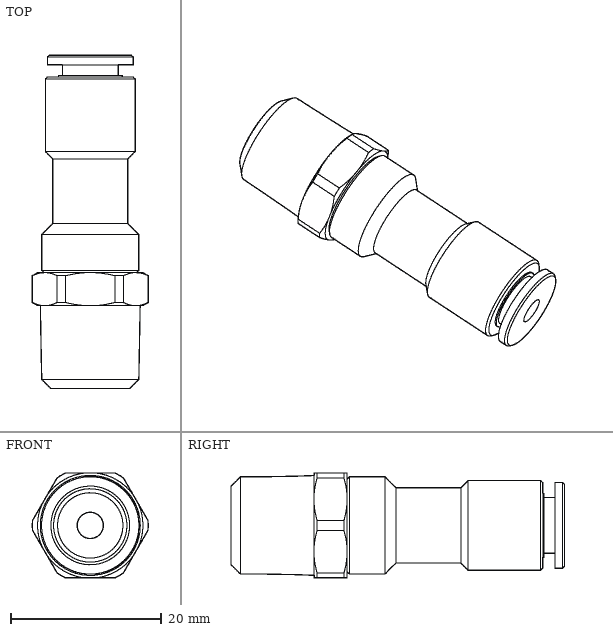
import cadquery as cq
import math

length = 44.45

tip_chamfer_length = 1.25
tip_face_radius = 5.25
thread_tip_radius = 6.5
thread_base_radius = 6.65

hex_start = 11.05
hex_end = 15.45
hex_across_flats = 14.0
hex_corner_radius = 7.75
hex_face_radius = 7.02
hex_chamfer_angle = 30.0
hex_chamfer_length = (hex_corner_radius - hex_face_radius) * math.tan(math.radians(hex_chamfer_angle))

collar_radius = 6.5
collar_chamfer = 0.3
collar_end = 20.55

waist_radius = 5.02
waist_start = collar_end + collar_radius - waist_radius
body_radius = 6.0
body_start = 31.6
waist_end = body_start - (body_radius - waist_radius)
body_end = 41.55
body_chamfer = 0.3
seat_radius = 4.25
seat_height = 0.2

stem_radius = 3.75
ring_radius = 5.75
ring_thickness = 1.3
ring_start = length - ring_thickness
ring_chamfer = 0.25

bore_radius = 4.35
mouth_chamfer = 0.55
bore_depth = 10.65
passage_radius = 1.75
bore_cone_angle = 59.0
cone_length = (bore_radius - passage_radius) / math.tan(math.radians(bore_cone_angle))


def revolve_profile(points):
    """Revolve (radius, position) points about the Y axis, closed along that axis."""
    closed = [(0, points[0][1])] + points + [(0, points[-1][1])]
    return cq.Workplane("XY").polyline(closed).close().revolve(360, (0, 0), (0, 1))


def make_turned_body():
    return revolve_profile([
        (tip_face_radius, 0),
        (thread_tip_radius, tip_chamfer_length),
        (thread_base_radius, hex_start),
        (collar_radius - collar_chamfer, hex_start),
        (collar_radius - collar_chamfer, hex_end),
        (collar_radius, hex_end + collar_chamfer),
        (collar_radius, collar_end),
        (waist_radius, waist_start),
        (waist_radius, waist_end),
        (body_radius, body_start),
        (body_radius, body_end - body_chamfer),
        (body_radius - body_chamfer, body_end),
        (seat_radius, body_end),
        (seat_radius, body_end + seat_height),
        (stem_radius, body_end + seat_height),
        (stem_radius, ring_start),
        (ring_radius, ring_start),
        (ring_radius, length - ring_chamfer),
        (ring_radius - ring_chamfer, length),
    ])


def make_hexagon():
    """Hexagon with flats facing +Z and -Z and corners turned down at both ends."""
    corner_diameter = hex_across_flats / math.cos(math.pi / 6)
    prism = (
        cq.Workplane("XZ", origin=(0, hex_start, 0))
        .polygon(6, corner_diameter)
        .extrude(hex_start - hex_end)
    )
    envelope = revolve_profile([
        (hex_face_radius, hex_start),
        (hex_corner_radius, hex_start + hex_chamfer_length),
        (hex_corner_radius, hex_end - hex_chamfer_length),
        (hex_face_radius, hex_end),
    ])
    return prism.intersect(envelope)


def make_bore():
    return revolve_profile([
        (bore_radius + mouth_chamfer, 0),
        (bore_radius, mouth_chamfer),
        (bore_radius, bore_depth),
        (passage_radius, bore_depth + cone_length),
        (passage_radius, length),
    ])


result = make_turned_body().union(make_hexagon()).cut(make_bore())